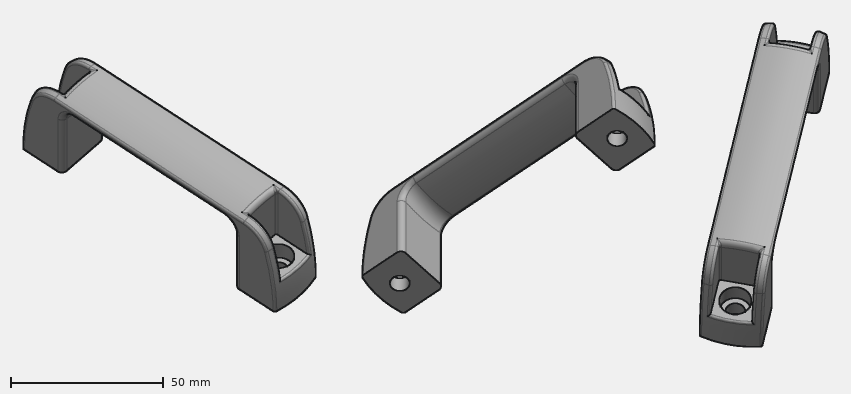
import cadquery as cq
import math

LENGTH = 111.8
WIDTH = 21.0
HEIGHT = 35.9

SHOULDER_Z = 27.4
LEG_ARC_RADIUS = 100.6

CROWN_RADIUS = 39.1
SKIN_DEPTH = 6.7

LEG_THICKNESS = 18.8
BAR_THICKNESS = 5.7
OPENING_CORNER_RADIUS = 5.0

POCKET_WIDTH = 13.8
POCKET_FLOOR_Z = 13.2
POCKET_BACK_X = 40.0
POCKET_CORNER_RADIUS = 0.7
HOLE_X = 47.0
HOLE_DIAMETER = 6.5
COUNTERBORE_DIAMETER = 10.5
COUNTERBORE_DEPTH = 6.7

OUTER_EDGE_RADIUS = 1.0
INNER_EDGE_RADIUS = 2.0
POCKET_BACK_RIM_RADIUS = 2.0
POCKET_RIM_RADIUS = 0.9

BACK_WALL_OVERLAP = 3.4
BACK_WALL_SIDE_OVERLAP = 1.1

TOLERANCE = 0.01

HALF_LENGTH = LENGTH / 2
HALF_WIDTH = WIDTH / 2
HALF_POCKET = POCKET_WIDTH / 2
OPENING_HALF = HALF_LENGTH - LEG_THICKNESS

LEAN = math.asin(SHOULDER_Z / LEG_ARC_RADIUS)
SHOULDER_X = HALF_LENGTH - LEG_ARC_RADIUS * (1 - math.cos(LEAN))
SHOULDER_RADIUS = (HEIGHT - SHOULDER_Z) / (1 - math.sin(LEAN))
SHOULDER_CENTRE_X = SHOULDER_X - SHOULDER_RADIUS * math.cos(LEAN)
SHOULDER_CENTRE_Z = HEIGHT - SHOULDER_RADIUS
LEG_CENTRE_X = HALF_LENGTH - LEG_ARC_RADIUS


def crown_drop(radius, y):
    """Fall of a crowned surface at distance y from the middle plane."""
    return radius - math.sqrt(radius**2 - y**2)


def leg_arc_point(angle, inset=0.0):
    radius = LEG_ARC_RADIUS - inset
    return LEG_CENTRE_X + radius * math.cos(angle), radius * math.sin(angle)


def shoulder_point(angle, inset=0.0):
    radius = SHOULDER_RADIUS - inset
    return (
        SHOULDER_CENTRE_X + radius * math.cos(angle),
        SHOULDER_CENTRE_Z + radius * math.sin(angle),
    )


def matches(value, target):
    return abs(value - target) < TOLERANCE


def fillet_where(body, radius, test):
    """Round the edges whose middle point passes the test(abs x, abs y, z)."""
    chosen = []
    for edge in body.edges().vals():
        middle = edge.positionAt(0.5)
        if test(abs(middle.x), abs(middle.y), middle.z):
            chosen.append(edge)
    return body.newObject(chosen).fillet(radius)


def mirrored(point):
    return -point[0], point[1]


def outer_path(inset=0.0):
    """Arch from the left foot to the right foot, moved inward by the inset."""
    shoulder_mid = (LEAN + math.pi / 2) / 2
    foot = leg_arc_point(0, inset)
    leg_mid = leg_arc_point(LEAN / 2, inset)
    shoulder = leg_arc_point(LEAN, inset)
    bend = shoulder_point(shoulder_mid, inset)
    bar_end = shoulder_point(math.pi / 2, inset)
    return (
        cq.Workplane("XZ")
        .moveTo(*mirrored(foot))
        .threePointArc(mirrored(leg_mid), mirrored(shoulder))
        .threePointArc(mirrored(bend), mirrored(bar_end))
        .lineTo(*bar_end)
        .threePointArc(bend, shoulder)
        .threePointArc(leg_mid, foot)
    )


def arch_body():
    """Solid arch: a crowned skin swept along the profile over a flat-sided core."""
    edge_x = -HALF_LENGTH + crown_drop(CROWN_RADIUS, HALF_WIDTH)
    skin = (
        cq.Workplane("XY")
        .moveTo(-HALF_LENGTH + SKIN_DEPTH, -HALF_WIDTH)
        .lineTo(edge_x, -HALF_WIDTH)
        .threePointArc((-HALF_LENGTH, 0), (edge_x, HALF_WIDTH))
        .lineTo(-HALF_LENGTH + SKIN_DEPTH, HALF_WIDTH)
        .close()
        .sweep(outer_path())
    )
    core = outer_path(SKIN_DEPTH / 2).close().extrude(HALF_WIDTH, both=True)
    return skin.union(core).clean()


def opening():
    """Space between the legs; its ceiling follows the crown of the bar."""
    ceiling_radius = CROWN_RADIUS - BAR_THICKNESS
    ceiling_z = HEIGHT - BAR_THICKNESS
    edge_z = ceiling_z + crown_drop(ceiling_radius, WIDTH)
    section = (
        cq.Workplane("YZ")
        .moveTo(-WIDTH, -HEIGHT)
        .lineTo(-WIDTH, edge_z)
        .threePointArc((0, ceiling_z), (WIDTH, edge_z))
        .lineTo(WIDTH, -HEIGHT)
        .close()
    )
    return (
        section.extrude(OPENING_HALF, both=True)
        .faces("|X")
        .edges("%CIRCLE")
        .fillet(OPENING_CORNER_RADIUS)
    )


def slotted_arch(arch):
    """Arch with a rim-rounded slot over each leg, cut past the pocket's back wall."""
    slot_start = POCKET_BACK_X - BACK_WALL_OVERLAP
    for side in (-1, 1):
        slot = (
            cq.Workplane("XY", origin=(side * (slot_start + HALF_LENGTH), 0, POCKET_FLOOR_Z))
            .box(LENGTH, POCKET_WIDTH, HEIGHT, centered=(True, True, False))
        )
        arch = arch.cut(slot)

    def on_rim(x, y, z):
        clear_of_ends = x > slot_start + TOLERANCE and z > POCKET_FLOOR_Z + TOLERANCE
        on_side = matches(y, HALF_POCKET) and clear_of_ends
        on_floor_end = matches(y, 0) and matches(z, POCKET_FLOOR_Z) and x > HOLE_X
        return on_side or on_floor_end

    return fillet_where(arch, POCKET_RIM_RADIUS, on_rim)


def pocket_back(arch):
    """Middle of the arch, a little wider than the slots, with rounded top ends."""
    width = POCKET_WIDTH + 2 * BACK_WALL_SIDE_OVERLAP
    middle = arch.intersect(cq.Workplane("XY").box(2 * POCKET_BACK_X, width, 3 * HEIGHT))

    def on_back_rim(x, y, z):
        return matches(x, POCKET_BACK_X) and matches(y, 0) and z > POCKET_FLOOR_Z

    return fillet_where(middle, POCKET_BACK_RIM_RADIUS, on_back_rim)


def pocketed_arch():
    """Arch with a screw pocket over each leg, open at the top and at the end."""
    arch = arch_body()
    pocketed = slotted_arch(arch).union(pocket_back(arch)).clean()

    def on_back_corner(x, y, z):
        above_floor = z > POCKET_FLOOR_Z + TOLERANCE
        return matches(x, POCKET_BACK_X) and matches(y, HALF_POCKET) and above_floor

    return fillet_where(pocketed, POCKET_CORNER_RADIUS, on_back_corner)


def round_side_edges(body):
    """Round both flat sides: first around the opening, then along the outside."""
    bar_middle_z = HEIGHT - BAR_THICKNESS / 2

    def around_opening(x, y, z):
        facing_opening = x < OPENING_HALF + TOLERANCE and TOLERANCE < z < bar_middle_z
        return matches(y, HALF_WIDTH) and facing_opening

    def around_outside(x, y, z):
        facing_out = z > bar_middle_z or (x > HOLE_X and z > TOLERANCE)
        return matches(y, HALF_WIDTH) and facing_out

    body = fillet_where(body, INNER_EDGE_RADIUS, around_opening)
    return fillet_where(body, OUTER_EDGE_RADIUS, around_outside)


def screw_hole(side):
    """Through hole with a counterbore sunk into the pocket floor."""
    centre_x = side * HOLE_X
    bore = cq.Workplane("XY", origin=(centre_x, 0, 0)).circle(HOLE_DIAMETER / 2).extrude(HEIGHT)
    counterbore = (
        cq.Workplane("XY", origin=(centre_x, 0, POCKET_FLOOR_Z - COUNTERBORE_DEPTH))
        .circle(COUNTERBORE_DIAMETER / 2)
        .extrude(HEIGHT)
    )
    return bore.union(counterbore)


result = round_side_edges(pocketed_arch().cut(opening()))
for leg_side in (-1, 1):
    result = result.cut(screw_hole(leg_side))
result = result.solids()